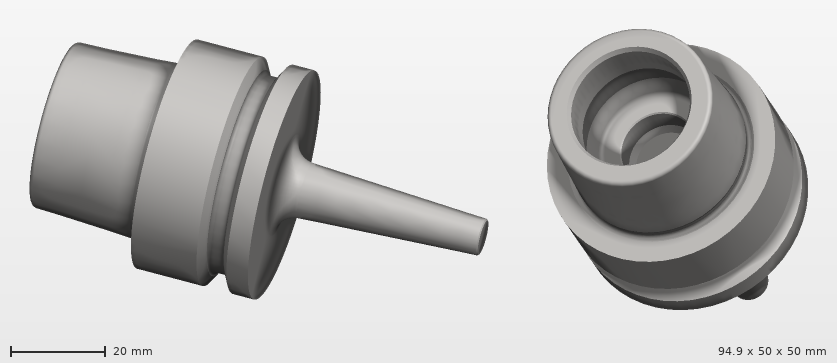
import cadquery as cq
import math


total_length = 94.9
flange_radius = 25.01
flange_start = 25.0
flange_end = 50.9

shank_small_radius = 18.0
shank_large_radius = 19.2
shank_edge_round = 0.95
shank_taper_end = 22.9
neck_radius = 18.9
neck_start = 23.7

recess_outer_radius = 20.4
recess_depth = 0.9
recess_corner_radius = 0.62

groove_start = 39.5
groove_end = 46.1
groove_floor_radius = 21.5
groove_step_radius = 22.5
groove_half_angle = 30.0
groove_start_corner_radius = 0.9
groove_end_corner_radius = 0.5

nose_end_radius = 4.0
nose_taper_angle = 3.0
nose_root_radius = 5.0
nose_end_chamfer = 0.3
nose_length = total_length - flange_end
nose_start_radius = nose_end_radius + nose_length * math.tan(math.radians(nose_taper_angle))

cavity_radius = 13.0
cavity_mouth_radius = 13.7
cavity_mouth_length = 1.0
lip_end = 10.1
shoulder_slope = 60.0
undercut_radius = 14.5
undercut_end = 18.6
cavity_depth = 22.8
cavity_floor_radius = 12.5
cavity_corner_radius = 1.2

hole_radius = 8.2
hole_mouth_radius = 8.4
hole_depth = 7.6
hole_floor_radius = 6.9


def revolve_about_x(profile):
    """Close the outline and turn it a full circle about the X axis."""
    return profile.close().revolve(360, (0, 0, 0), (1, 0, 0))


def make_body():
    """Solid shank, flange and nose, with sharp corners where rounds follow."""
    profile = (
        cq.Workplane("XY")
        .lineTo(0, shank_small_radius)
        .lineTo(shank_taper_end, shank_large_radius)
        .lineTo(neck_start, neck_radius)
        .lineTo(flange_start + recess_depth, neck_radius)
        .lineTo(flange_start, recess_outer_radius)
        .lineTo(flange_start, flange_radius)
        .lineTo(flange_end, flange_radius)
        .lineTo(flange_end, nose_start_radius)
        .lineTo(total_length, nose_end_radius)
        .lineTo(total_length, 0)
    )
    return revolve_about_x(profile)


def edge_at(x, radius):
    """Selector for the circular edge at the given place along the axis."""
    reach = 0.05
    return cq.selectors.BoxSelector(
        (x - reach, -radius - reach, -radius - reach),
        (x + reach, radius + reach, radius + reach),
        boundingbox=True,
    )


def round_body(body):
    """Round the shank edge, recess corner and nose root, and chamfer the nose end."""
    body = body.edges(edge_at(0, shank_small_radius)).fillet(shank_edge_round)
    body = body.edges(edge_at(flange_start + recess_depth, neck_radius)).fillet(recess_corner_radius)
    body = body.edges(edge_at(flange_end, nose_start_radius)).fillet(nose_root_radius)
    return body.edges(edge_at(total_length, nose_end_radius)).chamfer(nose_end_chamfer)


def make_groove():
    """V-walled ring with straight-sided bottom and rounded floor corners."""
    wall_run = (flange_radius - groove_step_radius) * math.tan(math.radians(groove_half_angle))
    floor_start = groove_start + wall_run
    floor_end = groove_end - wall_run
    profile = (
        cq.Workplane("XY")
        .moveTo(groove_start, flange_radius)
        .lineTo(floor_start, groove_step_radius)
        .lineTo(floor_start, groove_floor_radius)
        .lineTo(floor_end, groove_floor_radius)
        .lineTo(floor_end, groove_step_radius)
        .lineTo(groove_end, flange_radius)
    )
    ring = revolve_about_x(profile)
    corners = (
        (floor_start, groove_start_corner_radius),
        (floor_end, groove_end_corner_radius),
    )
    for x, corner_radius in corners:
        ring = ring.edges(edge_at(x, groove_floor_radius)).fillet(corner_radius)
    return ring


def make_cavity():
    """Stepped bore: chamfered lip, wider undercut, then a narrowing cone to a rounded floor."""
    shoulder_run = (undercut_radius - cavity_radius) / math.tan(math.radians(shoulder_slope))
    profile = (
        cq.Workplane("XY")
        .lineTo(0, cavity_mouth_radius)
        .lineTo(cavity_mouth_length, cavity_radius)
        .lineTo(lip_end, cavity_radius)
        .lineTo(lip_end + shoulder_run, undercut_radius)
        .lineTo(undercut_end, undercut_radius)
        .lineTo(cavity_depth, cavity_floor_radius)
        .lineTo(cavity_depth, 0)
    )
    cavity = revolve_about_x(profile)
    return cavity.edges(edge_at(cavity_depth, cavity_floor_radius)).fillet(cavity_corner_radius)


def make_hole():
    """Blind hole with a small mouth chamfer and a bevel around its flat end."""
    mouth_chamfer = hole_mouth_radius - hole_radius
    floor_bevel = hole_radius - hole_floor_radius
    hole_end = cavity_depth + hole_depth
    profile = (
        cq.Workplane("XY")
        .moveTo(cavity_depth, 0)
        .lineTo(cavity_depth, hole_mouth_radius)
        .lineTo(cavity_depth + mouth_chamfer, hole_radius)
        .lineTo(hole_end - floor_bevel, hole_radius)
        .lineTo(hole_end, hole_floor_radius)
        .lineTo(hole_end, 0)
    )
    return revolve_about_x(profile)


result = round_body(make_body()).cut(make_groove()).cut(make_cavity()).cut(make_hole())